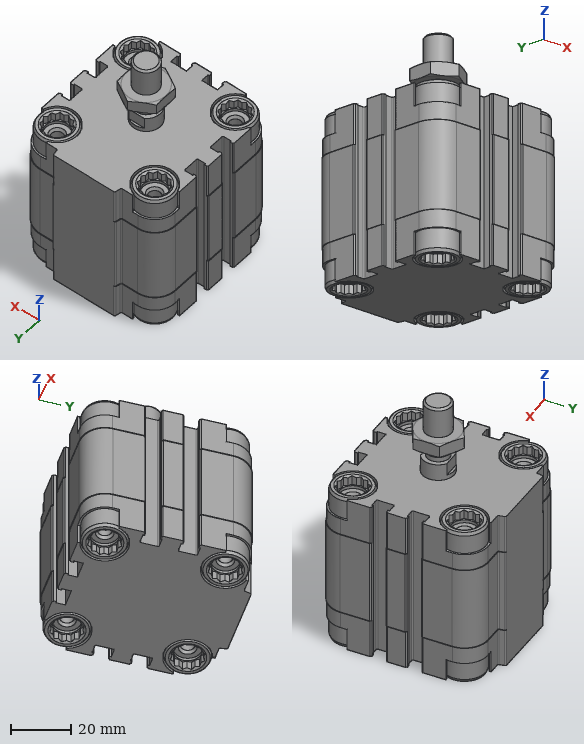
import cadquery as cq
import math

housing_height = 60.7
cap_height = 14.5
barrel_height = housing_height - 2 * cap_height
cap_half_width = 29.7
barrel_step = 0.3
corner_offset = 21.0

rail_back_y = 32.5
rail_half_width_back = 13.3
rail_half_width_root = 13.8
rail_fillet = 0.5

slot_offset = 6.7
slot_mouth_width = 5.5
slot_inner_width = 6.7
slot_lip_thickness = 1.5
front_slot_depth = 4.7
side_slot_depth = 5.0
side_slot_corner_radius = 0.45
slot_mouth_radius = 0.45

collar_diameter = 16.0
collar_chamfer_width = 0.5
collar_chamfer_height = 1.2
pocket_diameter = 16.55
pocket_depth = 8.2
pocket_wall_offset = 2.4

socket_mouth_diameter = 12.6
socket_across_flats = 10.15
socket_chamfer_depth = 0.7
socket_depth = 3.7
relief_diameter = 10.0
relief_depth = 4.9
countersink_diameter = 6.2
countersink_depth = 1.2
hole_diameter = 4.9

rod_diameter = 12.0
rod_shoulder_z = 67.0
rod_flats_width = 10.0
rod_flats_z = 62.4
rod_guide_length = cap_height
neck_diameter = 8.5
neck_top_z = 68.8
thread_diameter = 10.1
thread_chamfer = (thread_diameter - neck_diameter) / 2
rod_top_z = 89.0

nut_across_flats = 17.0
nut_bottom_z = 72.45
nut_height = 5.0
nut_face_diameter = 16.7
nut_chamfer_angle = 15.0

overrun = 4.45


def hexagon(across_flats, height, turn):
    """Hexagonal prism on the XY plane, with a corner at the angle `turn` from +X."""
    across_corners = across_flats / math.cos(math.radians(30))
    return cq.Workplane("XY").polygon(6, across_corners).extrude(height).rotate((0, 0, 0), (0, 0, 1), turn)



def housing_blank(step, height):
    """Rounded square with the rail; `step` moves every face outward except the rail's back."""
    half_width = cap_half_width + step
    square = (
        cq.Workplane("XY")
        .rect(2 * half_width, 2 * half_width)
        .extrude(height)
        .edges("|Z")
        .fillet(half_width - corner_offset)
    )
    back = rail_half_width_back + step
    root = rail_half_width_root + step
    rail = (
        cq.Workplane("XY")
        .moveTo(-root, half_width - overrun)
        .lineTo(-root, half_width)
        .lineTo(-back, rail_back_y)
        .lineTo(back, rail_back_y)
        .lineTo(root, half_width)
        .lineTo(root, half_width - overrun)
        .close()
        .extrude(height)
    )
    rail_region = cq.selectors.BoxSelector(
        (-root - 0.9, half_width - 0.9, 0), (root + 0.9, rail_back_y + 0.9, height)
    )
    return square.union(rail).edges("|Z").edges(rail_region).fillet(rail_fillet)


def slot_pair(step, height, depth, corner_radius):
    """Cutter for two T-slots in the front face, with rounded mouth edges."""
    face_y = -cap_half_width - step
    lip_y = -cap_half_width + slot_lip_thickness
    floor_y = -cap_half_width + depth
    half_mouth = slot_mouth_width / 2
    half_flare = half_mouth + slot_mouth_radius
    half_inner = slot_inner_width / 2
    mouth = (
        cq.Workplane("XY")
        .moveTo(-half_mouth, floor_y)
        .lineTo(-half_mouth, face_y + slot_mouth_radius)
        .radiusArc((-half_flare, face_y), -slot_mouth_radius)
        .lineTo(-half_flare, face_y - overrun)
        .lineTo(half_flare, face_y - overrun)
        .lineTo(half_flare, face_y)
        .radiusArc((half_mouth, face_y + slot_mouth_radius), -slot_mouth_radius)
        .lineTo(half_mouth, floor_y)
        .close()
        .extrude(height)
    )
    inner = (
        cq.Workplane("XY")
        .center(0, (lip_y + floor_y) / 2)
        .rect(2 * half_inner, floor_y - lip_y)
        .extrude(height)
    )
    if corner_radius > 0:
        inner = inner.edges("|Z and >Y").fillet(corner_radius)
    slot = mouth.union(inner)
    return slot.translate((-slot_offset, 0, 0)).union(slot.translate((slot_offset, 0, 0)))


def housing_section(step, bottom_z, height):
    front_slots = slot_pair(step, height, front_slot_depth, 0)
    side_slots = slot_pair(step, height, side_slot_depth, side_slot_corner_radius)
    section = housing_blank(step, height).cut(front_slots)
    for turn in (-90, 90):
        section = section.cut(side_slots.rotate((0, 0, 0), (0, 0, 1), turn))
    return section.translate((0, 0, bottom_z))


def corner_pocket():
    """Pocket at the +X +Y corner of the top end, open through both outer walls."""
    reach = cap_half_width + overrun
    wall = corner_offset - pocket_wall_offset
    opening = (
        cq.Workplane("XY")
        .rect(reach - wall, reach - wall, centered=False)
        .extrude(pocket_depth)
        .translate((wall, wall, 0))
    )
    round_part = (
        cq.Workplane("XY")
        .center(corner_offset, corner_offset)
        .circle(pocket_diameter / 2)
        .extrude(pocket_depth)
    )
    return opening.union(round_part).translate((0, 0, housing_height - pocket_depth))


def collar():
    """Chamfered round collar around the hole at the +X +Y corner of the top end."""
    radius = collar_diameter / 2
    profile = (
        cq.Workplane("XZ")
        .lineTo(radius, 0)
        .lineTo(radius, pocket_depth - collar_chamfer_height)
        .lineTo(radius - collar_chamfer_width, pocket_depth)
        .lineTo(0, pocket_depth)
        .close()
    )
    solid = profile.revolve(360, (0, 0), (0, 1))
    return solid.translate((corner_offset, corner_offset, housing_height - pocket_depth))


def collar_socket():
    """Cutter for the twelve-point socket, its relief and the countersink, down from z = 0."""
    flat_radius = socket_across_flats / 2
    relief_radius = relief_diameter / 2
    countersink_bottom = -relief_depth - countersink_depth
    turned = (
        cq.Workplane("XZ")
        .lineTo(socket_mouth_diameter / 2, 0)
        .lineTo(flat_radius, -socket_chamfer_depth)
        .lineTo(relief_radius, -socket_chamfer_depth)
        .lineTo(relief_radius, -relief_depth)
        .lineTo(countersink_diameter / 2, -relief_depth)
        .lineTo(hole_diameter / 2, countersink_bottom)
        .lineTo(0, countersink_bottom)
        .close()
        .revolve(360, (0, 0), (0, 1))
    )
    star = hexagon(socket_across_flats, socket_depth, 0).union(hexagon(socket_across_flats, socket_depth, 30))
    socket = turned.union(star.translate((0, 0, -socket_depth)))
    return socket.translate((corner_offset, corner_offset, housing_height))


def corner_hole():
    return (
        cq.Workplane("XY")
        .center(corner_offset, corner_offset)
        .circle(hole_diameter / 2)
        .extrude(housing_height)
    )


def at_both_ends(shape):
    """The shape together with its mirror image at the other end of the housing."""
    return shape, shape.mirror("XY", (0, 0, housing_height / 2))


def make_housing():
    barrel_top_z = cap_height + barrel_height
    housing = housing_section(barrel_step, cap_height, barrel_height)
    housing = housing.union(housing_section(0, 0, cap_height))
    housing = housing.union(housing_section(0, barrel_top_z, cap_height))
    pockets = at_both_ends(corner_pocket())
    collars = at_both_ends(collar())
    sockets = at_both_ends(collar_socket())
    for turn in (0, 90, 180, 270):
        for pocket, ring, socket in zip(pockets, collars, sockets):
            housing = housing.cut(pocket.rotate((0, 0, 0), (0, 0, 1), turn))
            housing = housing.union(ring.rotate((0, 0, 0), (0, 0, 1), turn))
            housing = housing.cut(socket.rotate((0, 0, 0), (0, 0, 1), turn))
        housing = housing.cut(corner_hole().rotate((0, 0, 0), (0, 0, 1), turn))
    rod_bore = (
        cq.Workplane("XY", origin=(0, 0, housing_height - rod_guide_length))
        .circle(rod_diameter / 2)
        .extrude(rod_guide_length)
    )
    return housing.cut(rod_bore)



def make_rod():
    rod_radius = rod_diameter / 2
    neck_radius = neck_diameter / 2
    thread_radius = thread_diameter / 2
    bottom_z = housing_height - rod_guide_length
    rod = (
        cq.Workplane("XZ")
        .moveTo(0, bottom_z)
        .lineTo(rod_radius, bottom_z)
        .lineTo(rod_radius, rod_shoulder_z)
        .lineTo(neck_radius, rod_shoulder_z)
        .lineTo(neck_radius, neck_top_z)
        .lineTo(thread_radius, neck_top_z + thread_chamfer)
        .lineTo(thread_radius, rod_top_z - thread_chamfer)
        .lineTo(thread_radius - thread_chamfer, rod_top_z)
        .lineTo(0, rod_top_z)
        .close()
        .revolve(360, (0, 0), (0, 1))
    )
    flats_height = rod_shoulder_z - rod_flats_z
    for side in (-1, 1):
        flat_cut = (
            cq.Workplane("XY", origin=(0, side * (rod_flats_width + overrun) / 2, rod_flats_z))
            .rect(2 * rod_diameter, overrun)
            .extrude(flats_height)
        )
        rod = rod.cut(flat_cut)
    return rod



def make_nut():
    """Hexagon nut with flats on the X sides and both faces chamfered by cones."""
    face_radius = nut_face_diameter / 2
    rim_radius = nut_across_flats
    chamfer_drop = (rim_radius - face_radius) * math.tan(math.radians(nut_chamfer_angle))
    envelope = (
        cq.Workplane("XZ")
        .lineTo(face_radius, 0)
        .lineTo(rim_radius, chamfer_drop)
        .lineTo(rim_radius, nut_height - chamfer_drop)
        .lineTo(face_radius, nut_height)
        .lineTo(0, nut_height)
        .close()
        .revolve(360, (0, 0), (0, 1))
    )
    thread_hole = cq.Workplane("XY").circle(thread_diameter / 2).extrude(nut_height)
    nut = hexagon(nut_across_flats, nut_height, 90).intersect(envelope).cut(thread_hole)
    return nut.translate((0, 0, nut_bottom_z))


housing = make_housing()
rod = make_rod()
nut = make_nut()

result = cq.Compound.makeCompound([housing.val(), rod.val(), nut.val()])